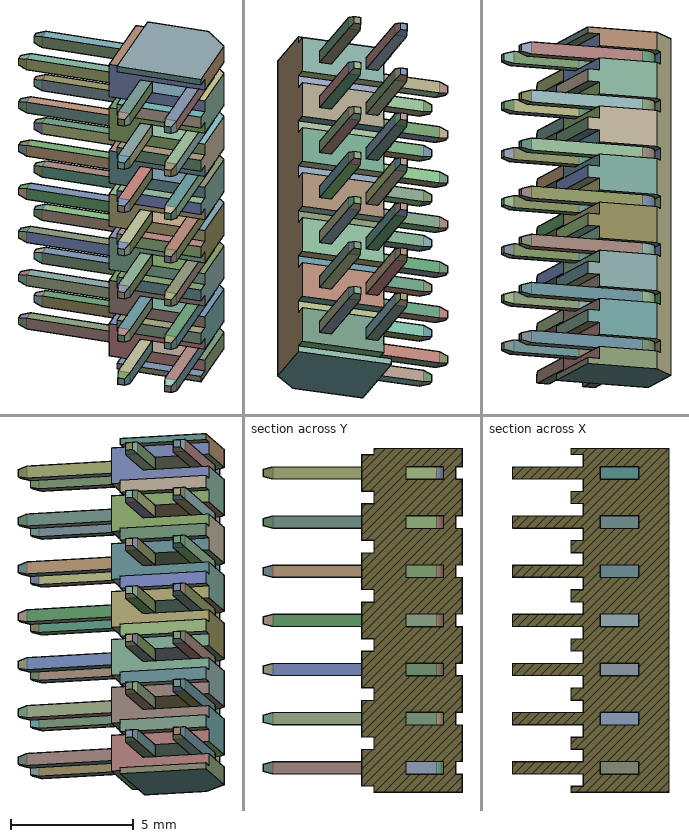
import cadquery as cq

overall_length = 14.0
row_count = 7
row_pitch = overall_length / row_count

plate_depth_x = 3.6
plate_depth_y = 4.0
corner_chamfer = 1.0
block_step = 0.5
block_height = row_pitch - block_step
block_depth_x = plate_depth_x + block_step
block_depth_y = plate_depth_y - block_step

pin_width = 0.5
pin_spacing = row_pitch
outer_leg_x = -0.52
outer_leg_y = -1.0
tip_x = -8.1
tip_y = -6.75
tip_length = 0.39
tip_width = 0.3
bend_inner_radius = 0.28
bend_outer_radius = bend_inner_radius + pin_width


row_heights = [(row - (row_count - 1) / 2) * row_pitch for row in range(row_count)]


def corner_box(left, front, back, height):
    """Box from x = left to the +X face, between y = front and y = back, centred on Z."""
    return (
        cq.Workplane("XY")
        .box(-left, back - front, height, centered=(False, False, True))
        .translate((left, front, 0))
    )


def make_housing():
    """Chamfered stack of thin plates with the row blocks between them."""
    row_block = corner_box(-block_depth_x, -block_depth_y, 0, block_height)
    recess = corner_box(-plate_depth_x, -plate_depth_y, -block_depth_y, block_height)
    housing = corner_box(-plate_depth_x, -plate_depth_y, 0, overall_length)
    for z in row_heights:
        housing = housing.cut(recess.translate((0, 0, z)))
        housing = housing.union(row_block.translate((0, 0, z)))
    chamfer_corner = (
        cq.Workplane("XY")
        .polyline([(0, 0), (-corner_chamfer, 0), (0, -corner_chamfer)])
        .close()
        .extrude(overall_length / 2, both=True)
    )
    return housing.cut(chamfer_corner)


def make_slot():
    """Pin-wide slot for the bends, open on -Y and +X."""
    left = outer_leg_x - pin_spacing - pin_width / 2
    back = outer_leg_y + pin_width / 2
    return corner_box(left, -plate_depth_y, back, pin_width)


def make_tip(base, direction):
    """Tapered square end of a leg, starting at base and pointing along direction."""
    plane = cq.Plane(origin=base, xDir=(0, 0, 1), normal=direction)
    return (
        cq.Workplane(plane)
        .rect(pin_width, pin_width)
        .workplane(offset=tip_length)
        .rect(tip_width, tip_width)
        .loft(ruled=True)
    )


def make_pin(leg_x, leg_y):
    """Square pin with a rounded right-angle bend joining its -X and -Y legs."""
    half = pin_width / 2
    shoulder_x = tip_x + tip_length
    shoulder_y = tip_y + tip_length
    outline = (
        cq.Workplane("XY", origin=(0, 0, -half))
        .moveTo(shoulder_x, leg_y + half)
        .lineTo(leg_x + half - bend_outer_radius, leg_y + half)
        .radiusArc((leg_x + half, leg_y + half - bend_outer_radius), bend_outer_radius)
        .lineTo(leg_x + half, shoulder_y)
        .lineTo(leg_x - half, shoulder_y)
        .lineTo(leg_x - half, leg_y - half - bend_inner_radius)
        .radiusArc((leg_x - half - bend_inner_radius, leg_y - half), -bend_inner_radius)
        .lineTo(shoulder_x, leg_y - half)
        .close()
    )
    return (
        outline.extrude(pin_width)
        .union(make_tip((shoulder_x, leg_y, 0), (-1, 0, 0)))
        .union(make_tip((leg_x, shoulder_y, 0), (0, -1, 0)))
    )


slot = make_slot()
outer_pin = make_pin(outer_leg_x, outer_leg_y)
inner_pin = make_pin(outer_leg_x - pin_spacing, outer_leg_y - pin_spacing)

result = make_housing()
for z in row_heights:
    result = result.cut(slot.translate((0, 0, z)))
    for pin in (outer_pin, inner_pin):
        result = result.union(pin.translate((0, 0, z)))